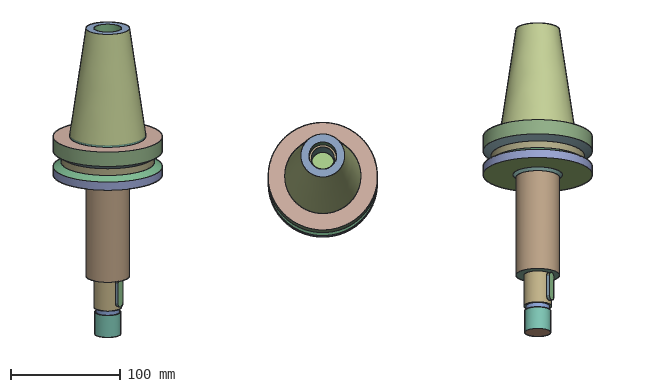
import cadquery as cq

total_height = 291.8
gauge_z = 190.0
flange_top_z = 188.5
groove_top_z = 174.8
groove_floor_top_z = 170.5
groove_floor_bottom_z = 164.0
groove_bottom_z = 160.0
flange_bottom_z = 152.0
collar_bottom_z = 149.5
shank_bottom_z = 55.2
pilot_bottom_z = 25.5
neck_bottom_z = 21.0

flange_dia = 100.0
groove_dia = 85.5
taper_large_dia = 69.7
taper_ratio = 7 / 24
taper_small_dia = taper_large_dia - taper_ratio * (total_height - gauge_z)
shank_dia = 40.0
collar_dia = shank_dia + 2 * (flange_bottom_z - collar_bottom_z)
pilot_dia = 25.5
neck_dia = 22.0
tip_dia = 24.0

bore_dia = 25.0
bore_depth = 14.0
inner_bore_dia = 21.0
inner_bore_depth = 40.9

key_width = 7.0
key_reach = 15.5
key_bottom_z = 28.5
key_length = shank_bottom_z - key_bottom_z


def make_body():
    """Revolve the stepped outline of the arbor about Z."""
    steps = [
        (tip_dia, 0),
        (tip_dia, neck_bottom_z),
        (neck_dia, neck_bottom_z),
        (neck_dia, pilot_bottom_z),
        (pilot_dia, pilot_bottom_z),
        (pilot_dia, shank_bottom_z),
        (shank_dia, shank_bottom_z),
        (shank_dia, collar_bottom_z),
        (collar_dia, flange_bottom_z),
        (flange_dia, flange_bottom_z),
        (flange_dia, groove_bottom_z),
        (groove_dia, groove_floor_bottom_z),
        (groove_dia, groove_floor_top_z),
        (flange_dia, groove_top_z),
        (flange_dia, flange_top_z),
        (taper_large_dia, flange_top_z),
        (taper_large_dia, gauge_z),
        (taper_small_dia, total_height),
    ]
    outline = [(0, 0)]
    outline += [(dia / 2, z) for dia, z in steps]
    outline += [(0, total_height)]
    return cq.Workplane("XZ").polyline(outline).close().revolve(360, (0, 0), (0, 1))


def make_key():
    """Round-ended key, running from the axis out to its outer face."""
    return (
        cq.Workplane("YZ")
        .center(0, key_bottom_z + key_length / 2)
        .slot2D(key_length, key_width, 90)
        .extrude(key_reach)
    )


def make_bore(diameter, depth):
    """Blind hole cutter going down from the top face."""
    return cq.Workplane("XY", origin=(0, 0, total_height)).circle(diameter / 2).extrude(-depth)


result = (
    make_body()
    .union(make_key())
    .cut(make_bore(bore_dia, bore_depth))
    .cut(make_bore(inner_bore_dia, inner_bore_depth))
)